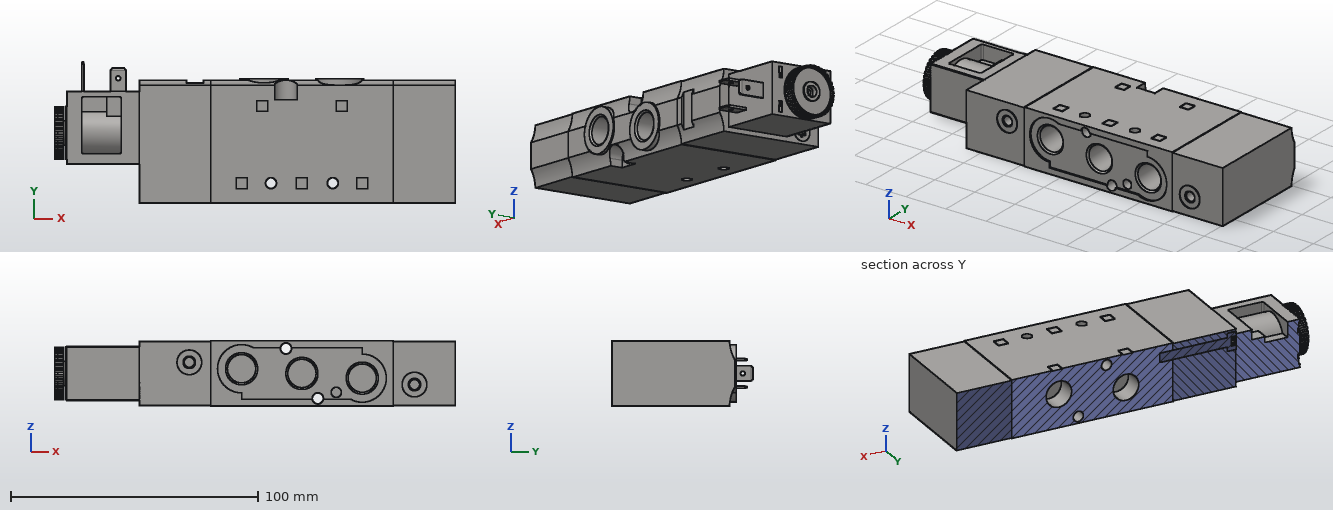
import cadquery as cq
import math

TOTAL_LENGTH = 162.15
COIL_START = 5.0
PILOT_START = 34.3
BODY_START = 63.1
BODY_END = 137.0
BODY_MIDDLE = (BODY_START + BODY_END) / 2

DEPTH = 49.8
BODY_HEIGHT = 26.5
COVER_HEIGHT = 26.0
BACK_EDGE_Y = 47.65
BACK_HOLLOW_Y = 48.3
BACK_HOLLOW_Z = 9.0
BACK_FLAT_HEIGHT = 11.0

PORT_BORE = 11.45
PORT_MOUTH = 13.0
PORT_DEPTH = 18.0
PORT_STEP_Z = 1.9
FRONT_PORT_PITCH = 24.4
BACK_PORT_OFFSET = 15.35
SEAL_DIAMETER = 19.5
SEAL_HEIGHT = 20.9
SEAL_DEPTH = 0.8
BOSS_FACE_Y = 50.4

CROSS_HOLE = 4.4
CROSS_HOLE_X = 6.45
CROSS_HOLE_Z = 10.1
CROSS_SEAT_WIDTH = 9.0
CROSS_SEAT_Y = 41.9
UPRIGHT_HOLE = 4.3
UPRIGHT_HOLE_X = 12.5
UPRIGHT_HOLE_Y = 8.1
VENT_HOLE = 4.13
VENT_X = BODY_MIDDLE + 13.9
VENT_Z = -7.65
VENT_DEPTH = 5.5
LABEL_SIZE = 4.4
LABEL_DEPTH = 0.2
BACK_LABEL_X = 16.1
BACK_LABEL_Y = 39.3

PILOT_PORT_BORE = 4.13
PILOT_PORT_MOUTH = 5.0
PILOT_PORT_DEPTH = 10.0
PILOT_PORT_OFFSET = 45.55
PILOT_PORT_Z = 4.5
SPOT_FACE = 10.0
SPOT_FACE_DEPTH = 0.3
RELIEF_START = 53.4
RELIEF_END = 60.2
RELIEF_FLOOR_Y = 48.7

SCREW_HEAD = 7.9
SCREW_HEAD_LENGTH = 4.0
SCREW_SHANK = 4.0
SCREW_REACH = 6.0
SCREW_END_Y = 8.3
SCREW_Z = 7.8
SOCKET_CORE = 3.24
SOCKET_LOBE = 0.9
SOCKET_REACH = 4.4
SOCKET_LOBES = 6
SOCKET_DEPTH = 2.0

COIL_FRONT_Y = 15.7
COIL_BACK_Y = 45.25
COIL_HEIGHT = 21.9
COIL_CHAMFER_Z = 0.4
COIL_CHAMFER_Y = 0.2
AXIS_Y = 28.4
WINDOW_START_X = 10.9
WINDOW_END_X = 27.0
WINDOW_FRONT_Y = 20.0
WINDOW_BACK_Y = 43.0
WINDOW_FLOOR_Z = 4.0
WINDOW_CORNER = 0.8
WINDING_DIAMETER = 19.0
BLOCK_START_X = 21.0
BLOCK_FRONT_Y = 35.2
BLOCK_TOP_Z = 6.6
SLOT_Y = 40.8
SLOT_WIDTH = 1.5
SLOT_OUTER_Z = 9.4
SLOT_STEP_Z = 6.8
SLOT_INNER_Z = 4.9
SLOT_DEPTH = 0.5
SLOT_DEEP = 1.0

BLADE_WIDTH = 6.3
BLADE_THICKNESS = 1.0
BLADE_HOLE = 1.75
BLADE_HOLE_FROM_TIP = 4.2
BLADE_TIP_LENGTH = 1.0
BLADE_TIP_SIDE = 0.75
BLADE_TIP_THINNING = 0.25
EARTH_TIP_Y = 57.2
EARTH_X = 11.4
CONTACT_TIP_Y = 54.7
CONTACT_X = 25.75
CONTACT_Z = 5.55

STEM_DIAMETER = 8.0
STEM_END_X = 0.6
STEM_SOCKET = 4.7
STEM_SOCKET_DEPTH = 2.5
STEM_HOLE = 2.5
STEM_HOLE_DEPTH = 4.0
WASHER_DIAMETER = 21.4
WASHER_THICKNESS = 0.5
NUT_DIAMETER = 21.4
NUT_THICKNESS = 3.6
NUT_NECK = 10.0
NUT_DISH = 19.5
NUT_DISH_DEPTH = 1.2
NUT_GROOVES = 36
NUT_GROOVE_WIDTH = 0.9
NUT_GROOVE_DEPTH = 0.6


def box(x0, x1, y0, y1, z0, z1):
    """Block between the given limits."""
    return cq.Workplane("XY").box(x1 - x0, y1 - y0, z1 - z0, centered=False).translate((x0, y0, z0))


def rod_x(diameter, x0, x1, y=AXIS_Y, z=0.0):
    """Round rod along X."""
    solid = cq.Solid.makeCylinder(diameter / 2, x1 - x0, cq.Vector(x0, y, z), cq.Vector(1, 0, 0))
    return cq.Workplane(obj=solid)


def rod_y(diameter, y0, y1, x, z):
    """Round rod along Y."""
    solid = cq.Solid.makeCylinder(diameter / 2, y1 - y0, cq.Vector(x, y0, z), cq.Vector(0, 1, 0))
    return cq.Workplane(obj=solid)


def flared_hole(bore, mouth, depth, x, y, z, inward):
    """Cutter for a blind hole along Y with a 45 degree mouth; inward is +1 or -1."""
    flare = (mouth - bore) / 2
    direction = cq.Vector(0, inward, 0)
    start = cq.Vector(x, y, z)
    shaft = cq.Workplane(obj=cq.Solid.makeCylinder(bore / 2, depth, start, direction))
    cone = cq.Workplane(obj=cq.Solid.makeCone(mouth / 2, bore / 2, flare, start, direction))
    return shaft.union(cone)


def valve_section(x0, x1, height):
    """Length of the valve profile: flat front, hollowed edges towards a flat back."""
    half = BODY_HEIGHT / 2
    flat = BACK_FLAT_HEIGHT / 2
    section = (
        cq.Workplane("YZ", origin=(x0, 0, 0))
        .moveTo(0, -half)
        .lineTo(BACK_EDGE_Y, -half)
        .threePointArc((BACK_HOLLOW_Y, -BACK_HOLLOW_Z), (DEPTH, -flat))
        .lineTo(DEPTH, flat)
        .threePointArc((BACK_HOLLOW_Y, BACK_HOLLOW_Z), (BACK_EDGE_Y, half))
        .lineTo(0, half)
        .close()
        .extrude(x1 - x0)
    )
    return section.intersect(box(x0, x1, 0, DEPTH, -height / 2, height / 2))


SCREW_PLACES = [(SCREW_END_Y, -SCREW_Z), (DEPTH - SCREW_END_Y, SCREW_Z)]


def screw_blank(y, z):
    """Flush round head and shank, also the cutter for the hole it sits in."""
    head = rod_x(SCREW_HEAD, PILOT_START, PILOT_START + SCREW_HEAD_LENGTH, y, z)
    shank = rod_x(SCREW_SHANK, PILOT_START, BODY_START + SCREW_REACH, y, z)
    return head.union(shank)


def pilot_screw(y, z):
    """Screw with a six-lobed socket in its head."""
    socket_end = PILOT_START + SOCKET_DEPTH
    socket = rod_x(SOCKET_CORE, PILOT_START, socket_end, y, z)
    lobe_radius = (SOCKET_REACH - SOCKET_LOBE) / 2
    for i in range(SOCKET_LOBES):
        angle = math.pi / 2 + 2 * math.pi * i / SOCKET_LOBES
        lobe_y = y + lobe_radius * math.cos(angle)
        lobe_z = z + lobe_radius * math.sin(angle)
        socket = socket.union(rod_x(SOCKET_LOBE, PILOT_START, socket_end, lobe_y, lobe_z))
    return screw_blank(y, z).cut(socket)


def cut_screw_holes(solid):
    for y, z in SCREW_PLACES:
        solid = solid.cut(screw_blank(y, z))
    return solid


def front_ports(body):
    """Sunken gasket area and its three ports."""
    left = BODY_MIDDLE - FRONT_PORT_PITCH
    right = BODY_MIDDLE + FRONT_PORT_PITCH
    gasket = box(left, right, 0, SEAL_DEPTH, -SEAL_HEIGHT / 2, SEAL_HEIGHT / 2)
    gasket = gasket.union(rod_y(SEAL_DIAMETER, 0, SEAL_DEPTH, left, PORT_STEP_Z))
    gasket = gasket.union(rod_y(SEAL_DIAMETER, 0, SEAL_DEPTH, right, -PORT_STEP_Z))
    body = body.cut(gasket)
    for i in (-1, 0, 1):
        x = BODY_MIDDLE + i * FRONT_PORT_PITCH
        body = body.cut(flared_hole(PORT_BORE, PORT_MOUTH, PORT_DEPTH, x, SEAL_DEPTH, -i * PORT_STEP_Z, 1))
    return body


def back_ports(body):
    """Two round bosses standing out of the back, each with a port."""
    for side in (-1, 1):
        x = BODY_MIDDLE + side * BACK_PORT_OFFSET
        z = side * PORT_STEP_Z
        body = body.union(rod_y(SEAL_DIAMETER, BACK_EDGE_Y - 1, BOSS_FACE_Y, x, z))
        body = body.cut(flared_hole(PORT_BORE, PORT_MOUTH, PORT_DEPTH, x, BOSS_FACE_Y, z, -1))
    return body


def mounting_holes(body):
    """Cross holes with open U-shaped seats in the back, and upright holes."""
    for side in (-1, 1):
        x = BODY_MIDDLE + side * CROSS_HOLE_X
        z = -side * CROSS_HOLE_Z
        body = body.cut(rod_y(CROSS_HOLE, 0, BOSS_FACE_Y, x, z))
        seat = rod_y(CROSS_SEAT_WIDTH, CROSS_SEAT_Y, BOSS_FACE_Y, x, z)
        half = CROSS_SEAT_WIDTH / 2
        low, high = sorted((z, -side * BODY_HEIGHT / 2))
        seat = seat.union(box(x - half, x + half, CROSS_SEAT_Y, BOSS_FACE_Y, low, high))
        body = body.cut(seat)
        upright = cq.Solid.makeCylinder(
            UPRIGHT_HOLE / 2,
            BODY_HEIGHT,
            cq.Vector(BODY_MIDDLE + side * UPRIGHT_HOLE_X, UPRIGHT_HOLE_Y, -BODY_HEIGHT / 2),
        )
        body = body.cut(cq.Workplane(obj=upright))
    return body


def label_recesses(body):
    """Shallow square recesses in the top, one beside each port."""
    places = [(i * FRONT_PORT_PITCH, UPRIGHT_HOLE_Y) for i in (-1, 0, 1)]
    places += [(side * BACK_LABEL_X, BACK_LABEL_Y) for side in (-1, 1)]
    half = LABEL_SIZE / 2
    top = BODY_HEIGHT / 2
    for offset, y in places:
        x = BODY_MIDDLE + offset
        body = body.cut(box(x - half, x + half, y - half, y + half, top - LABEL_DEPTH, top))
    return body


def make_main_body():
    body = valve_section(BODY_START, BODY_END, BODY_HEIGHT)
    body = front_ports(body)
    body = back_ports(body)
    body = mounting_holes(body)
    body = label_recesses(body)
    body = body.cut(rod_y(VENT_HOLE, 0, VENT_DEPTH, VENT_X, VENT_Z))
    return cut_screw_holes(body)


def cut_pilot_port(cover, x, z):
    """Threaded port with a shallow spot face in the front of a cover."""
    cover = cover.cut(rod_y(SPOT_FACE, 0, SPOT_FACE_DEPTH, x, z))
    port = flared_hole(PILOT_PORT_BORE, PILOT_PORT_MOUTH, PILOT_PORT_DEPTH, x, SPOT_FACE_DEPTH, z, 1)
    return cover.cut(port)


def make_pilot_block():
    block = valve_section(PILOT_START, BODY_START, COVER_HEIGHT)
    block = cut_pilot_port(block, BODY_MIDDLE - PILOT_PORT_OFFSET, PILOT_PORT_Z)
    half = COVER_HEIGHT / 2
    block = block.cut(box(RELIEF_START, RELIEF_END, RELIEF_FLOOR_Y, DEPTH, -half, half))
    return cut_screw_holes(block)


def make_end_cap():
    cap = valve_section(BODY_END, TOTAL_LENGTH, COVER_HEIGHT)
    return cut_pilot_port(cap, BODY_MIDDLE + PILOT_PORT_OFFSET, -PILOT_PORT_Z)


def terminal(tip_y):
    """Flat blade in the XY plane, centred on X = 0 and Z = 0, with a tapered tip."""
    half = BLADE_WIDTH / 2
    tip_half = half - BLADE_TIP_SIDE
    shoulder_y = tip_y - BLADE_TIP_LENGTH
    outline = [
        (-half, COIL_BACK_Y),
        (half, COIL_BACK_Y),
        (half, shoulder_y),
        (tip_half, tip_y),
        (-tip_half, tip_y),
        (-half, shoulder_y),
    ]
    blade = cq.Workplane("XY").polyline(outline).close().extrude(BLADE_THICKNESS / 2, both=True)
    thick = BLADE_THICKNESS / 2
    thin = thick - BLADE_TIP_THINNING
    side_outline = [
        (COIL_BACK_Y, -thick),
        (shoulder_y, -thick),
        (tip_y, -thin),
        (tip_y, thin),
        (shoulder_y, thick),
        (COIL_BACK_Y, thick),
    ]
    wedge = cq.Workplane("YZ").polyline(side_outline).close().extrude(half, both=True)
    hole_y = tip_y - BLADE_HOLE_FROM_TIP
    hole = cq.Workplane("XY").center(0, hole_y).circle(BLADE_HOLE / 2).extrude(BLADE_THICKNESS, both=True)
    return blade.intersect(wedge).cut(hole)


def winding_window():
    """Cutter for the window in the top, leaving the winding and a block standing in it."""
    top = COIL_HEIGHT / 2
    window = box(WINDOW_START_X, WINDOW_END_X, WINDOW_FRONT_Y, WINDOW_BACK_Y, WINDOW_FLOOR_Z, top)
    window = window.edges("|Z").fillet(WINDOW_CORNER)
    window = window.cut(rod_x(WINDING_DIAMETER, WINDOW_START_X, WINDOW_END_X))
    block = box(BLOCK_START_X, WINDOW_END_X, BLOCK_FRONT_Y, WINDOW_BACK_Y, WINDOW_FLOOR_Z, BLOCK_TOP_Z)
    return window.cut(block)


def end_slots():
    """Cutter for the two stepped slots in the nut-side end of the coil."""
    y0 = SLOT_Y - SLOT_WIDTH / 2
    y1 = SLOT_Y + SLOT_WIDTH / 2
    outer = box(COIL_START, COIL_START + SLOT_DEPTH, y0, y1, SLOT_STEP_Z, SLOT_OUTER_Z)
    inner = box(COIL_START, COIL_START + SLOT_DEEP, y0, y1, SLOT_INNER_Z, SLOT_STEP_Z)
    upper = outer.union(inner)
    return upper.union(upper.mirror("XY"))


def make_coil():
    half = COIL_HEIGHT / 2
    coil = box(COIL_START, PILOT_START, COIL_FRONT_Y, COIL_BACK_Y, -half, half)
    for side in (-1, 1):
        corner = [
            (COIL_FRONT_Y, side * half),
            (COIL_FRONT_Y + COIL_CHAMFER_Y, side * half),
            (COIL_FRONT_Y, side * (half - COIL_CHAMFER_Z)),
        ]
        wedge = cq.Workplane("YZ", origin=(COIL_START, 0, 0)).polyline(corner).close()
        coil = coil.cut(wedge.extrude(PILOT_START - COIL_START))
    coil = coil.cut(winding_window())
    coil = coil.cut(end_slots())
    coil = coil.cut(rod_x(STEM_DIAMETER, COIL_START, PILOT_START))
    earth = terminal(EARTH_TIP_Y).rotate((0, 0, 0), (0, 1, 0), 90)
    coil = coil.union(earth.translate((EARTH_X, 0, 0)))
    for side in (-1, 1):
        coil = coil.union(terminal(CONTACT_TIP_Y).translate((CONTACT_X, 0, side * CONTACT_Z)))
    return coil


def make_stem():
    """Rod that carries the coil, with a stepped bore in its free end."""
    stem = rod_x(STEM_DIAMETER, STEM_END_X, PILOT_START)
    stem = stem.cut(rod_x(STEM_SOCKET, STEM_END_X, STEM_END_X + STEM_SOCKET_DEPTH))
    return stem.cut(rod_x(STEM_HOLE, STEM_END_X, STEM_END_X + STEM_HOLE_DEPTH))


def make_washer():
    washer = rod_x(WASHER_DIAMETER, COIL_START - WASHER_THICKNESS, COIL_START)
    return washer.cut(rod_x(STEM_DIAMETER, COIL_START - WASHER_THICKNESS, COIL_START))


def make_nut():
    """Grooved round nut with a dished face and a short neck against the washer."""
    neck_end = COIL_START - WASHER_THICKNESS
    nut = rod_x(NUT_DIAMETER, 0, NUT_THICKNESS)
    radius = NUT_DIAMETER / 2
    groove = box(
        0,
        NUT_THICKNESS,
        radius - NUT_GROOVE_DEPTH,
        radius + NUT_GROOVE_DEPTH,
        -NUT_GROOVE_WIDTH / 2,
        NUT_GROOVE_WIDTH / 2,
    )
    for i in range(NUT_GROOVES):
        turned = groove.rotate((0, 0, 0), (1, 0, 0), 360 * i / NUT_GROOVES)
        nut = nut.cut(turned.translate((0, AXIS_Y, 0)))
    nut = nut.union(rod_x(NUT_NECK, 0, neck_end))
    nut = nut.cut(rod_x(NUT_DISH, 0, NUT_DISH_DEPTH))
    return nut.cut(rod_x(STEM_DIAMETER, 0, neck_end))


main_body = make_main_body()
pilot_block = make_pilot_block()
end_cap = make_end_cap()
coil = make_coil()
stem = make_stem()
washer = make_washer()
nut = make_nut()
screws = [pilot_screw(y, z).val() for y, z in SCREW_PLACES]

result = cq.Compound.makeCompound([
    main_body.val(),
    pilot_block.val(),
    end_cap.val(),
    coil.val(),
    stem.val(),
    washer.val(),
    nut.val(),
    *screws,
])